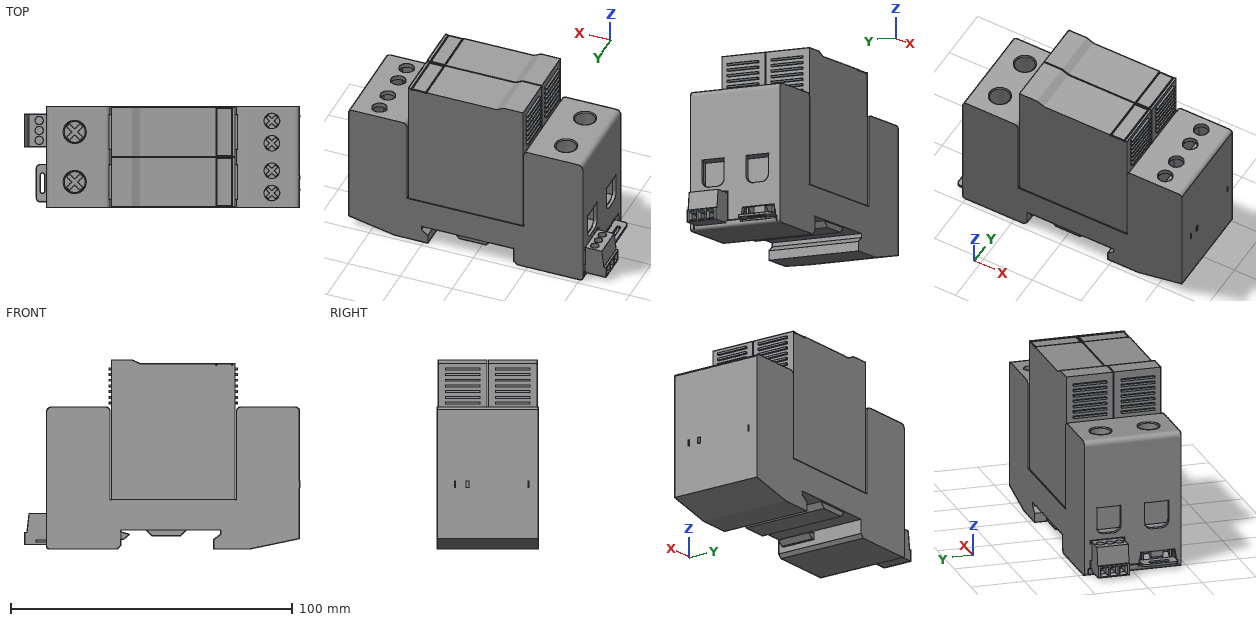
import cadquery as cq
import math


LENGTH = 97.95
BASE_WIDTH = 36.0
BASE_LEFT = 7.7
BASE_RIGHT = 97.8
BASE_TOP = 50.6
SHOULDER_RADIUS = 2.0
SHOULDER_TRIM = 0.3
WELL_EDGE_RADIUS = 1.8
FOOT_RADIUS = 1.2
WELL_LEFT = 30.5
WELL_RIGHT = 75.3
WELL_FLOOR = 17.6
HALF_WIDTH = BASE_WIDTH / 2

RAIL_TOP = 6.8
RAIL_LEFT = 34.3
RAIL_RIGHT = 69.7
RAIL_LEFT_CHAMFER = 1.4
LIP_LEFT = 67.3
LIP_LOWER = 3.4
LIP_UPPER = 5.3
HEEL_START = 79.9
HEEL_RISE = 3.7
PAD_LEFT = 43.3
PAD_RIGHT = 57.5
PAD_BEVEL = 2.1
PAD_WIDTH = 34.3

POLES = (-1, 1)
CARTRIDGE_GAP = 0.4
WELL_CLEARANCE = 0.4
CARTRIDGE_WIDTH = 17.4
CARTRIDGE_LEFT = WELL_LEFT + WELL_CLEARANCE
CARTRIDGE_RIGHT = WELL_RIGHT - WELL_CLEARANCE
CARTRIDGE_TOP = 67.4
CARTRIDGE_LOW_TOP = 66.0
SLOPE_START = 38.2
SLOPE_END = 41.1
SLOPE_BLEND = 1.4
CARTRIDGE_Y = (CARTRIDGE_GAP + CARTRIDGE_WIDTH) / 2

RIB_COUNT = 7
RIB_SPAN = 12.1
RIB_PITCH = RIB_SPAN / (RIB_COUNT - 1)
RIB_HEIGHT = 0.7
RIB_REACH = 0.9
RIB_LENGTH = 12.3
RIB_TOP_CENTER = 64.2

LABEL_LEFT = 68.1
LABEL_RIGHT = 74.0
LABEL_GROOVE = 0.3
LABEL_DEPTH = 0.5
LABEL_SIDE_DEPTH = 0.2

POWER_SCREW_X = 17.8
POWER_SCREW_Y = 8.9
POWER_WELL_DIA = 7.4
POWER_WELL_CHAMFER = 0.4
POWER_CROSS_WIDTH = 1.5
POWER_CROSS_LENGTH = 6.9
SIGNAL_SCREW_X = 88.0
SIGNAL_SCREW_YS = (-12.8, -4.9, 4.9, 12.8)
SIGNAL_WELL_DIA = 5.5
SIGNAL_ROOF = 1.7
SIGNAL_CHAMBER_LENGTH = 5.9
SIGNAL_CHAMBER_WIDTH = 14.7
SIGNAL_CROSS_WIDTH = 1.2
SIGNAL_CROSS_LENGTH = 4.7
WELL_DEPTH = 9.8
CROSS_DEPTH = 1.0

WINDOW_WIDTH = 9.0
WINDOW_BOTTOM = 15.3
WINDOW_TOP = 25.4
WINDOW_RADIUS = 2.7
WINDOW_WALL = 1.4
CHAMBER_WIDTH = 13.4
CHAMBER_Y = 8.3
CHAMBER_DEPTH = 6.0
CHAMBER_BOTTOM = 14.9

PLUG_Y_MIN = 3.6
PLUG_Y_MAX = 15.3
PLUG_BOTTOM = 1.7
PLUG_STEP_Z = 6.0
PLUG_STEP_X = 0.8
PLUG_TOP = 12.7
PLUG_TOP_X = 1.6
PLUG_PITCH = 3.5
PLUG_Y = (PLUG_Y_MIN + PLUG_Y_MAX) / 2
PLUG_HOLE_X = 5.2
PLUG_HOLE_DIA = 2.9
PLUG_HOLE_DEPTH = 4.9
MOUTH_WIDTH = 2.8
MOUTH_HEIGHT = 3.4
MOUTH_CENTER_Z = 3.7
MOUTH_TAPER_DEPTH = 1.2
THROAT_WIDTH = 1.8
THROAT_HEIGHT = 2.1
THROAT_DEPTH = 5.9
SHANK_DIA = 0.9
SOCKET_Y_MIN = 2.9
SOCKET_BOTTOM = 2.5
SOCKET_TOP = 13.2
SOCKET_DEPTH = 1.0
SOCKET_LEDGE = 0.3
SOCKET_LEDGE_DEPTH = 0.5
KEYWAY_WIDTH = 0.7
KEYWAY_TOP_HEIGHT = 1.3
KEYWAY_LOW_TOP = 5.7

SLIDER_Y = -9.3
SLIDER_OPEN_BOTTOM = 1.7
SLIDER_OPEN_TOP = 6.8
SLIDER_OPEN_LOW_WIDTH = 14.4
SLIDER_OPEN_HIGH_WIDTH = 12.7
SLIDER_OPEN_DEPTH = 1.6
SLIDER_POCKET_WIDTH = 2.5
SLIDER_POCKET_DEPTH = 2.0
SLIDER_POCKET_APEX = 4.8
SLIDER_SLOT_OFFSET = 5.8
SLIDER_SLOT_WIDTH = 0.6
SLIDER_SLOT_DEPTH = 1.0
SLIDER_POST_WIDTH = 4.5
SLIDER_POST_BOTTOM = 4.1
SLIDER_POST_SETBACK = 1.0
TAB_LEFT = 4.1
TAB_BOTTOM = 2.5
TAB_THICKNESS = 0.8
TAB_WIDTH = 13.3
TAB_RADIUS = 1.5
TAB_SLOT_X = 6.4
TAB_SLOT_WIDTH = 1.5
TAB_SLOT_LENGTH = 7.2
HOOK_TIP_X = 37.3
HOOK_TIP_Z = 5.3
HOOK_ROOT_TOP = 6.2
HOOK_TOE_X = 35.3
HOOK_BOTTOM = 3.5
COVER_WIDTH = 33.5
COVER_TOP = 2.6
COVER_GROOVE = 0.2

NUBS = ((14.5, 0.4), (-7.2, 1.1), (-11.7, 0.5))
NUB_BOTTOM = 21.9
NUB_TOP = 24.2


def box(x0, x1, y0, y1, z0, z1):
    """Axis-aligned block given by its limits."""
    return cq.Workplane("XY").box(x1 - x0, y1 - y0, z1 - z0, centered=False).translate((x0, y0, z0))


def side_prism(outline, y_min, y_max):
    """Extrude a closed XZ outline between two Y positions."""
    return outline.extrude(y_min - y_max).translate((0, y_min, 0))


def make_base():
    arc_run = SHOULDER_RADIUS - SHOULDER_TRIM
    arc_angle = math.asin(arc_run / SHOULDER_RADIUS)
    arc_x = BASE_RIGHT - arc_run
    arc_z = BASE_TOP - SHOULDER_RADIUS

    def shoulder(angle):
        return (arc_x + SHOULDER_RADIUS * math.sin(angle), arc_z + SHOULDER_RADIUS * math.cos(angle))

    outline = (
        cq.Workplane("XZ")
        .moveTo(BASE_LEFT + FOOT_RADIUS, 0)
        .lineTo(RAIL_LEFT - RAIL_LEFT_CHAMFER, 0)
        .lineTo(RAIL_LEFT, RAIL_LEFT_CHAMFER)
        .lineTo(RAIL_LEFT, RAIL_TOP)
        .lineTo(RAIL_RIGHT, RAIL_TOP)
        .lineTo(RAIL_RIGHT, LIP_UPPER)
        .lineTo(LIP_LEFT, LIP_LOWER)
        .lineTo(LIP_LEFT, 0)
        .lineTo(HEEL_START, 0)
        .lineTo(BASE_RIGHT, HEEL_RISE)
        .lineTo(*shoulder(arc_angle))
        .threePointArc(shoulder(arc_angle / 2), shoulder(0))
        .lineTo(WELL_RIGHT + WELL_EDGE_RADIUS, BASE_TOP)
        .radiusArc((WELL_RIGHT, BASE_TOP - WELL_EDGE_RADIUS), -WELL_EDGE_RADIUS)
        .lineTo(WELL_RIGHT, WELL_FLOOR)
        .lineTo(WELL_LEFT, WELL_FLOOR)
        .lineTo(WELL_LEFT, BASE_TOP - WELL_EDGE_RADIUS)
        .radiusArc((WELL_LEFT - WELL_EDGE_RADIUS, BASE_TOP), -WELL_EDGE_RADIUS)
        .lineTo(BASE_LEFT + SHOULDER_RADIUS, BASE_TOP)
        .radiusArc((BASE_LEFT, BASE_TOP - SHOULDER_RADIUS), -SHOULDER_RADIUS)
        .lineTo(BASE_LEFT, FOOT_RADIUS)
        .radiusArc((BASE_LEFT + FOOT_RADIUS, 0), -FOOT_RADIUS)
        .close()
    )
    base = side_prism(outline, -HALF_WIDTH, HALF_WIDTH)
    pad = cq.Workplane("XZ").polyline([
        (PAD_LEFT, RAIL_TOP),
        (PAD_LEFT + PAD_BEVEL, RAIL_TOP - PAD_BEVEL),
        (PAD_RIGHT - PAD_BEVEL, RAIL_TOP - PAD_BEVEL),
        (PAD_RIGHT, RAIL_TOP),
    ]).close()
    return base.union(side_prism(pad, -PAD_WIDTH / 2, PAD_WIDTH / 2))


def make_cartridge(y_center):
    y_min = y_center - CARTRIDGE_WIDTH / 2
    y_max = y_center + CARTRIDGE_WIDTH / 2
    outline = cq.Workplane("XZ").polyline([
        (CARTRIDGE_LEFT, WELL_FLOOR),
        (CARTRIDGE_RIGHT, WELL_FLOOR),
        (CARTRIDGE_RIGHT, CARTRIDGE_LOW_TOP),
        (SLOPE_END, CARTRIDGE_LOW_TOP),
        (SLOPE_START, CARTRIDGE_TOP),
        (CARTRIDGE_LEFT, CARTRIDGE_TOP),
    ]).close()
    cartridge = side_prism(outline, y_min, y_max)
    for x, z in ((SLOPE_START, CARTRIDGE_TOP), (SLOPE_END, CARTRIDGE_LOW_TOP)):
        bend = cq.selectors.NearestToPointSelector((x, y_center, z))
        cartridge = cartridge.edges("|Y").edges(bend).fillet(SLOPE_BLEND)

    for x in (LABEL_LEFT, LABEL_RIGHT - LABEL_GROOVE):
        cartridge = cartridge.cut(box(
            x, x + LABEL_GROOVE, y_min, y_max, CARTRIDGE_LOW_TOP - LABEL_DEPTH, CARTRIDGE_LOW_TOP
        ))
    for y in (y_min, y_max - LABEL_GROOVE):
        cartridge = cartridge.cut(box(
            LABEL_LEFT, LABEL_RIGHT, y, y + LABEL_GROOVE,
            CARTRIDGE_LOW_TOP - LABEL_SIDE_DEPTH, CARTRIDGE_LOW_TOP,
        ))

    for row in range(RIB_COUNT):
        z = RIB_TOP_CENTER - row * RIB_PITCH
        rib = box(
            CARTRIDGE_LEFT - RIB_REACH, CARTRIDGE_RIGHT + RIB_REACH,
            y_center - RIB_LENGTH / 2, y_center + RIB_LENGTH / 2,
            z - RIB_HEIGHT / 2, z + RIB_HEIGHT / 2,
        )
        cartridge = cartridge.union(rib)
    return cartridge


def screw_well(x, y, diameter, cross_width, cross_length):
    """Cutter for a screw well whose floor is a cross-slotted screw head."""
    floor_z = BASE_TOP - WELL_DEPTH
    cutter = cq.Workplane("XY").circle(diameter / 2).extrude(WELL_DEPTH)
    for angle in (45, 135):
        slot = cq.Workplane("XY").rect(cross_length, cross_width).extrude(-CROSS_DEPTH)
        cutter = cutter.union(slot.rotate((0, 0, 0), (0, 0, 1), angle))
    return cutter.translate((x, y, floor_z))


def cut_screw_wells(body):
    for pole in POLES:
        y = pole * POWER_SCREW_Y
        body = body.cut(
            screw_well(POWER_SCREW_X, y, POWER_WELL_DIA, POWER_CROSS_WIDTH, POWER_CROSS_LENGTH)
        )
        rim = cq.Solid.makeCone(
            POWER_WELL_DIA / 2, POWER_WELL_DIA / 2 + POWER_WELL_CHAMFER, POWER_WELL_CHAMFER,
            pnt=cq.Vector(POWER_SCREW_X, y, BASE_TOP - POWER_WELL_CHAMFER),
        )
        body = body.cut(cq.Workplane(rim))
    for y in SIGNAL_SCREW_YS:
        body = body.cut(
            screw_well(SIGNAL_SCREW_X, y, SIGNAL_WELL_DIA, SIGNAL_CROSS_WIDTH, SIGNAL_CROSS_LENGTH)
        )
    half_length = SIGNAL_CHAMBER_LENGTH / 2
    half_width = SIGNAL_CHAMBER_WIDTH / 2
    for pole in POLES:
        y = pole * POWER_SCREW_Y
        body = body.cut(box(
            SIGNAL_SCREW_X - half_length, SIGNAL_SCREW_X + half_length,
            y - half_width, y + half_width, BASE_TOP - WELL_DEPTH, BASE_TOP - SIGNAL_ROOF,
        ))
    return body


def cut_cable_windows(body):
    """Round-bottomed windows in the -X wall, each opening into a wider chamber."""
    for pole in POLES:
        y = pole * POWER_SCREW_Y
        window = box(
            BASE_LEFT, BASE_LEFT + WINDOW_WALL,
            y - WINDOW_WIDTH / 2, y + WINDOW_WIDTH / 2, WINDOW_BOTTOM, WINDOW_TOP,
        ).edges("|X and <Z").fillet(WINDOW_RADIUS)
        chamber_y = pole * CHAMBER_Y
        chamber = box(
            BASE_LEFT + WINDOW_WALL, BASE_LEFT + CHAMBER_DEPTH,
            chamber_y - CHAMBER_WIDTH / 2, chamber_y + CHAMBER_WIDTH / 2, CHAMBER_BOTTOM, WINDOW_TOP,
        )
        body = body.cut(window).cut(chamber)
    return body


def cut_cover_groove(body):
    """Thin outline of the slider cover at the bottom of the -X wall."""
    outer = box(
        BASE_LEFT, BASE_LEFT + COVER_GROOVE, -COVER_WIDTH / 2, COVER_WIDTH / 2, 0, COVER_TOP
    )
    half_inner = COVER_WIDTH / 2 - COVER_GROOVE
    inner = box(
        BASE_LEFT, BASE_LEFT + COVER_GROOVE, -half_inner, half_inner, 0, COVER_TOP - COVER_GROOVE
    )
    return body.cut(outer.cut(inner))


def cut_plug_socket(body):
    """Stepped clearance around the connector, with two keyways on its +Y side."""
    back = BASE_LEFT + SOCKET_DEPTH
    key_end = PLUG_Y_MAX + KEYWAY_WIDTH
    ledge = BASE_LEFT + SOCKET_LEDGE_DEPTH
    body = body.cut(box(BASE_LEFT, ledge, SOCKET_Y_MIN, PLUG_Y_MAX, SOCKET_BOTTOM, SOCKET_TOP))
    body = body.cut(box(
        BASE_LEFT, back, SOCKET_Y_MIN + SOCKET_LEDGE, PLUG_Y_MAX,
        SOCKET_BOTTOM, SOCKET_TOP - SOCKET_LEDGE,
    ))
    body = body.cut(box(BASE_LEFT, back, PLUG_Y_MAX, key_end, SOCKET_BOTTOM, KEYWAY_LOW_TOP))
    return body.cut(
        box(BASE_LEFT, back, PLUG_Y_MAX, key_end, SOCKET_TOP - KEYWAY_TOP_HEIGHT, SOCKET_TOP)
    )


def make_plug():
    back = BASE_LEFT + SOCKET_DEPTH
    outline = cq.Workplane("XZ").polyline([
        (0, PLUG_BOTTOM),
        (back, PLUG_BOTTOM),
        (back, PLUG_TOP),
        (PLUG_TOP_X, PLUG_TOP),
        (PLUG_STEP_X, PLUG_STEP_Z),
        (0, PLUG_STEP_Z),
    ]).close()
    plug = side_prism(outline, PLUG_Y_MIN, PLUG_Y_MAX)
    for index in (-1, 0, 1):
        y = PLUG_Y + index * PLUG_PITCH
        screw_hole = (
            cq.Workplane("XY", origin=(PLUG_HOLE_X, y, PLUG_TOP))
            .circle(PLUG_HOLE_DIA / 2).extrude(-PLUG_HOLE_DEPTH)
        )
        mouth = (
            cq.Workplane("YZ", origin=(0, y, MOUTH_CENTER_Z))
            .rect(MOUTH_WIDTH, MOUTH_HEIGHT)
            .workplane(offset=MOUTH_TAPER_DEPTH)
            .rect(THROAT_WIDTH, THROAT_HEIGHT)
            .loft()
        )
        throat = (
            cq.Workplane("YZ", origin=(0, y, MOUTH_CENTER_Z))
            .rect(THROAT_WIDTH, THROAT_HEIGHT).extrude(THROAT_DEPTH)
        )
        shank = (
            cq.Workplane("XY", origin=(PLUG_HOLE_X, y, MOUTH_CENTER_Z - THROAT_HEIGHT / 2))
            .circle(SHANK_DIA / 2).extrude(THROAT_HEIGHT)
        )
        plug = plug.cut(screw_hole).cut(mouth).cut(throat).union(shank)
    return plug


def cut_slider_opening(body):
    """Tapered opening around the pull tab, with a wedge pocket and a slot each side of a post."""
    opening = cq.Workplane("YZ", origin=(BASE_LEFT, SLIDER_Y, 0)).polyline([
        (-SLIDER_OPEN_LOW_WIDTH / 2, SLIDER_OPEN_BOTTOM),
        (SLIDER_OPEN_LOW_WIDTH / 2, SLIDER_OPEN_BOTTOM),
        (SLIDER_OPEN_HIGH_WIDTH / 2, SLIDER_OPEN_TOP),
        (-SLIDER_OPEN_HIGH_WIDTH / 2, SLIDER_OPEN_TOP),
    ]).close().extrude(SLIDER_OPEN_DEPTH)
    half_post = SLIDER_POST_WIDTH / 2
    post_x = BASE_LEFT + SLIDER_POST_SETBACK
    floor_x = BASE_LEFT + SLIDER_OPEN_DEPTH
    post = box(
        post_x, floor_x, SLIDER_Y - half_post, SLIDER_Y + half_post, SLIDER_POST_BOTTOM, SLIDER_OPEN_TOP,
    )
    foot = box(
        post_x, floor_x, SLIDER_Y - half_post, SLIDER_Y + half_post, SLIDER_OPEN_BOTTOM, TAB_BOTTOM,
    )
    body = body.cut(opening.cut(post).cut(foot))

    tab_top = TAB_BOTTOM + TAB_THICKNESS
    half_slot = SLIDER_SLOT_WIDTH / 2
    for side in (-1, 1):
        pocket_y = SLIDER_Y + side * (half_post + SLIDER_POCKET_WIDTH / 2)
        pocket = cq.Workplane("XZ").polyline([
            (floor_x, tab_top),
            (floor_x, SLIDER_OPEN_TOP),
            (floor_x + SLIDER_POCKET_DEPTH, SLIDER_POCKET_APEX),
        ]).close()
        half_pocket = SLIDER_POCKET_WIDTH / 2
        body = body.cut(side_prism(pocket, pocket_y - half_pocket, pocket_y + half_pocket))
        slot_y = SLIDER_Y + side * SLIDER_SLOT_OFFSET
        body = body.cut(box(
            floor_x, floor_x + SLIDER_SLOT_DEPTH,
            slot_y - half_slot, slot_y + half_slot, tab_top, SLIDER_OPEN_TOP,
        ))
    return body


def make_slider():
    """Slotted pull tab on the -X side and the hook that grips the rail."""
    y_min = SLIDER_Y - TAB_WIDTH / 2
    y_max = SLIDER_Y + TAB_WIDTH / 2
    tab = box(
        TAB_LEFT, BASE_LEFT + SLIDER_OPEN_DEPTH, y_min, y_max, TAB_BOTTOM, TAB_BOTTOM + TAB_THICKNESS
    ).edges("|Z and <X").fillet(TAB_RADIUS)
    slot = (
        cq.Workplane("XY", origin=(TAB_SLOT_X, SLIDER_Y, TAB_BOTTOM))
        .slot2D(TAB_SLOT_LENGTH, TAB_SLOT_WIDTH, 90).extrude(TAB_THICKNESS)
    )
    hook = cq.Workplane("XZ").polyline([
        (RAIL_LEFT, HOOK_BOTTOM),
        (HOOK_TOE_X, HOOK_BOTTOM),
        (HOOK_TIP_X, HOOK_TIP_Z),
        (RAIL_LEFT, HOOK_ROOT_TOP),
    ]).close()
    return tab.cut(slot), side_prism(hook, y_min, y_max)


body = make_base()
body = cut_screw_wells(body)
body = cut_cable_windows(body)
body = cut_cover_groove(body)
body = cut_plug_socket(body)
body = cut_slider_opening(body)

for pole in POLES:
    body = body.union(make_cartridge(pole * CARTRIDGE_Y))
body = body.union(make_plug())
for slider_part in make_slider():
    body = body.union(slider_part)
for y, width in NUBS:
    body = body.union(box(BASE_RIGHT, LENGTH, y - width / 2, y + width / 2, NUB_BOTTOM, NUB_TOP))

result = body